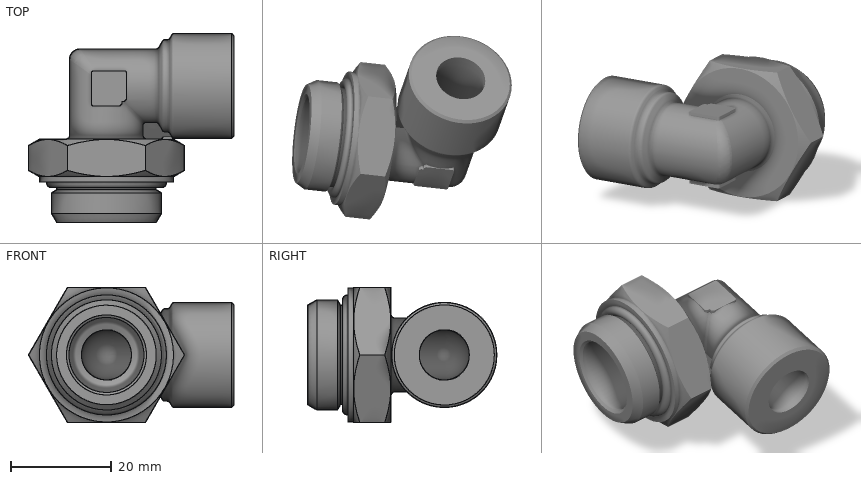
import math

import cadquery as cq


tube_radius = 7.4
bore_radius = 5.0
bore_overrun = 0.3
outer_corner_round = 2.1
inner_corner_round = 0.5
flare_angle = 60.0
flare_start = 10.29
flare_round = 0.6

stem_end = 27.3
hex_sides = 6
hex_across_flats = 27.0
hex_height = 7.5
hex_start = 10.65
hex_end = hex_start + hex_height
hex_chamfer_radius = 13.4
hex_chamfer_angle = 30.0
collar_end = 19.25
groove_radius = 9.95
thread_start = 21.35
thread_radius = 11.0
thread_chamfer_angle = 30.0
seal_outer_radius = 12.0
seal_tube_radius = 1.05
seal_center = 19.3
socket_radius = 7.5
socket_depth = 13.0
socket_mouth_chamfer = 0.5
socket_point_angle = 118.0

spout_end = 25.5
ring_radius = 9.25
ring_end = 12.5
spout_radius = 10.5
spout_end_chamfer = 0.5

pad_size = 7.0
pad_offset = 0.5
pad_height = 7.5
pad_corner_round = 0.4
pad_corner_cut = 1.3
notch_position = 3.1

web_thickness = 2.0
web_bottom = 10.24
web_foot_start = 11.35

tolerance = 1e-3

hex_corner_radius = hex_across_flats / 2 / math.cos(math.pi / hex_sides)
flare_slope = math.tan(math.radians(flare_angle))
tube_start = flare_start - 2 * flare_round
ring_start = flare_start + (ring_radius - tube_radius) / flare_slope
spout_body_start = ring_end + (spout_radius - ring_radius) / flare_slope


def along_stem(radius, start, end):
    """Cylinder on the stem axis between two distances from the origin along -Y."""
    return cq.Workplane("XZ", origin=(0, -start, 0)).circle(radius).extrude(end - start)


def along_spout(radius, start, end):
    """Cylinder on the spout axis between two X positions."""
    return cq.Workplane("YZ", origin=(start, 0, 0)).circle(radius).extrude(end - start)


def on_stem(points):
    """Solid of revolution about the stem axis from (radius, distance) points."""
    outline = [(radius, -distance) for radius, distance in points]
    return cq.Workplane("XY").polyline(outline).close().revolve(360, (0, 0, 0), (0, 1, 0))


def on_spout(points):
    """Solid of revolution about the spout axis from (radius, distance) points."""
    outline = [(distance, radius) for radius, distance in points]
    return cq.Workplane("XY").polyline(outline).close().revolve(360, (0, 0, 0), (1, 0, 0))


def mitred_tubes():
    """Two tubes of equal radius that meet in a mitre at the origin."""
    stem = along_stem(tube_radius, 0, hex_start)
    spout = along_spout(tube_radius, 0, flare_start)
    knuckle_stem = along_stem(tube_radius, -tube_radius, tube_radius)
    knuckle_spout = along_spout(tube_radius, -tube_radius, tube_radius)
    return stem.union(spout).union(knuckle_stem.intersect(knuckle_spout))


def pads():
    """Square pad through the elbow, cut back and notched at the corner that faces the inner mitre."""
    block = (
        cq.Workplane("XY")
        .center(pad_offset, -pad_offset)
        .rect(pad_size, pad_size)
        .extrude(pad_height, both=True)
    )
    block = block.edges("|Z and (<X or >Y)").fillet(pad_corner_round)
    block = block.edges("|Z").edges(">(1,-1,0)").chamfer(pad_corner_cut)
    notch = (
        cq.Workplane("XY")
        .center(notch_position, -notch_position)
        .rect(pad_size, -pad_size, centered=False)
        .extrude(pad_height, both=True)
    )
    return block.cut(notch)


def nearest_to(x, y):
    """Selector for the round edge whose centre is at a point on an arm axis."""
    return cq.selectors.NearestToPointSelector((x, y, 0))


def mitre_edges(body, side):
    """Mitre edges on the inner (side = 1) or outer (side = -1) corner of the elbow."""
    edges = []
    for edge in body.edges("%ELLIPSE").vals():
        center = edge.Center()
        on_mitre = abs(center.x + center.y) < tolerance
        if on_mitre and side * center.x > pad_size / 2:
            edges.append(edge)
    return edges


def elbow():
    """Mitred tubes with pads, rounded along the outer and the inner mitre edge."""
    body = mitred_tubes().union(pads())
    for side, radius in ((-1, outer_corner_round), (1, inner_corner_round)):
        body = body.newObject(mitre_edges(body, side)).fillet(radius)
    return body


def stem_foot():
    """Start of a flare where the stem runs into the hexagon."""
    foot_radius = tube_radius + (hex_start - flare_start) * flare_slope
    foot = on_stem(
        [
            (0, tube_start),
            (tube_radius, tube_start),
            (tube_radius, flare_start),
            (foot_radius, hex_start),
            (0, hex_start),
        ]
    )
    return foot.edges(nearest_to(0, -flare_start)).fillet(flare_round)


def spout_head():
    """Flare, ring, second flare and the large cylinder of the spout."""
    corners = [
        (tube_radius, flare_start),
        (ring_radius, ring_start),
        (ring_radius, ring_end),
        (spout_radius, spout_body_start),
    ]
    end_face = [
        (spout_radius, spout_end - spout_end_chamfer),
        (spout_radius - spout_end_chamfer, spout_end),
        (0, spout_end),
    ]
    head = on_spout([(0, tube_start), (tube_radius, tube_start)] + corners + end_face)
    for _, distance in corners:
        head = head.edges(nearest_to(distance, 0)).fillet(flare_round)
    return head


def hexagon():
    """Hexagon with its corners along X, chamfered on both faces."""
    prism = (
        cq.Workplane("XZ", origin=(0, -hex_start, 0))
        .polygon(hex_sides, 2 * hex_corner_radius)
        .extrude(hex_height)
    )
    drop = (hex_corner_radius - hex_chamfer_radius) * math.tan(math.radians(hex_chamfer_angle))
    envelope = on_stem(
        [
            (0, hex_start),
            (hex_chamfer_radius, hex_start),
            (hex_corner_radius, hex_start + drop),
            (hex_corner_radius, hex_end - drop),
            (hex_chamfer_radius, hex_end),
            (0, hex_end),
        ]
    )
    return prism.intersect(envelope)


def stem_end_fitting():
    """Collar, undercut groove and thread cylinder below the hexagon."""
    step = thread_radius - groove_radius
    slope = math.tan(math.radians(thread_chamfer_angle))
    return on_stem(
        [
            (0, hex_end),
            (hex_chamfer_radius, hex_end),
            (hex_chamfer_radius, collar_end),
            (groove_radius, collar_end),
            (groove_radius, thread_start - step * slope),
            (thread_radius, thread_start),
            (thread_radius, stem_end - step / slope),
            (groove_radius, stem_end),
            (0, stem_end),
        ]
    )


def seal_ring():
    """Seal ring in the groove against the collar."""
    ring_center = seal_outer_radius - seal_tube_radius
    return (
        cq.Workplane("XY")
        .center(ring_center, -seal_center)
        .circle(seal_tube_radius)
        .revolve(360, (-ring_center, 0, 0), (-ring_center, 1, 0))
    )


def web():
    """Flat web that fills the inner corner between stem, spout and hexagon."""
    outline = [
        (0, 0),
        (spout_body_start, 0),
        (spout_body_start, -web_bottom),
        (web_foot_start, -web_bottom),
        (web_foot_start - (hex_start - web_bottom), -hex_start),
        (0, -hex_start),
    ]
    return cq.Workplane("XY").polyline(outline).close().extrude(web_thickness / 2, both=True)


def passage():
    """Bores of both arms, with a ball end behind the stem bore and a socket in the stem end."""
    bottom = stem_end - socket_depth
    point_length = (socket_radius - bore_radius) / math.tan(math.radians(socket_point_angle / 2))
    mouth_radius = socket_radius + socket_mouth_chamfer
    socket = on_stem(
        [
            (0, bottom - point_length),
            (bore_radius, bottom - point_length),
            (socket_radius, bottom),
            (socket_radius, stem_end - socket_mouth_chamfer),
            (mouth_radius, stem_end),
            (0, stem_end),
        ]
    )
    stem_bore = along_stem(bore_radius, -bore_overrun, bottom)
    spout_bore = along_spout(bore_radius, 0, spout_end)
    ball_end = cq.Workplane("XY", origin=(0, bore_overrun, 0)).sphere(bore_radius)
    return socket.union(stem_bore).union(spout_bore).union(ball_end)


result = (
    elbow()
    .union(stem_foot())
    .union(spout_head())
    .union(web())
    .union(hexagon())
    .union(stem_end_fitting())
    .union(seal_ring())
    .cut(passage())
)